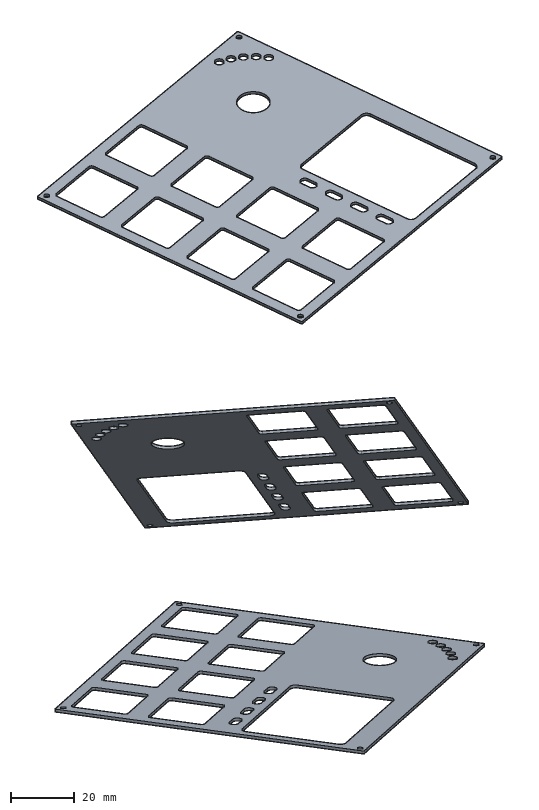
import cadquery as cq
import math

plate_side = 104.4
plate_thickness = 1.0
plate_corner_radius = 0.3

screw_hole_diameter = 1.8
screw_hole_inset = 2.1

key_columns = 4
key_rows = 2
key_pitch = 25.9
key_side = 19.0
key_corner_radius = 1.0
key_grid_y = -key_pitch

upper_y = 26.7
upper_offset_x = 26.7

knob_hole_diameter = 10.5

indicator_diameter = 3.0
indicator_count = 5
indicator_arc_radius = 23.0
indicator_step_angle = 10.0
indicator_middle_angle = 135.0

window_width = 45.0
window_height = 35.0
window_corner_radius = 2.0

slot_count = 4
slot_pitch = 10.0
slot_length = 6.1
slot_width = 3.0
slot_y = 4.8


def rounded_block(width, height, corner_radius):
    """Block of plate thickness, centred on the origin, with rounded vertical edges."""
    block = cq.Workplane("XY").rect(width, height).extrude(plate_thickness)
    return block.edges("|Z").fillet(corner_radius)


def drill(body, centres, diameter):
    """Cut through holes of one diameter at the given (x, y) centres."""
    top = body.faces(">Z").workplane(origin=(0, 0, 0))
    return top.pushPoints(centres).hole(diameter)


def screw_hole_centres():
    """One point inset from each corner of the plate."""
    offset = plate_side / 2 - screw_hole_inset
    return [(x, y) for x in (-offset, offset) for y in (-offset, offset)]


def indicator_centres():
    """Points evenly stepped along the arc around the knob hole."""
    centres = []
    for index in range(indicator_count):
        steps_from_middle = index - (indicator_count - 1) / 2
        angle = math.radians(indicator_middle_angle + steps_from_middle * indicator_step_angle)
        x = -upper_offset_x + indicator_arc_radius * math.cos(angle)
        y = upper_y + indicator_arc_radius * math.sin(angle)
        centres.append((x, y))
    return centres


plate = rounded_block(plate_side, plate_side, plate_corner_radius)

plate = drill(plate, screw_hole_centres(), screw_hole_diameter)
plate = drill(plate, [(-upper_offset_x, upper_y)], knob_hole_diameter)
plate = drill(plate, indicator_centres(), indicator_diameter)

top = plate.faces(">Z").workplane(origin=(0, 0, 0))
slot_row = top.center(upper_offset_x, slot_y).rarray(slot_pitch, slot_width, slot_count, 1)
plate = slot_row.slot2D(slot_length, slot_width).cutThruAll()

window = rounded_block(window_width, window_height, window_corner_radius)
plate = plate.cut(window.translate((upper_offset_x, upper_y, 0)))

key_opening = rounded_block(key_side, key_side, key_corner_radius)
for column in range(key_columns):
    for row in range(key_rows):
        key_x = (column - (key_columns - 1) / 2) * key_pitch
        key_y = key_grid_y + (row - (key_rows - 1) / 2) * key_pitch
        plate = plate.cut(key_opening.translate((key_x, key_y, 0)))

result = plate